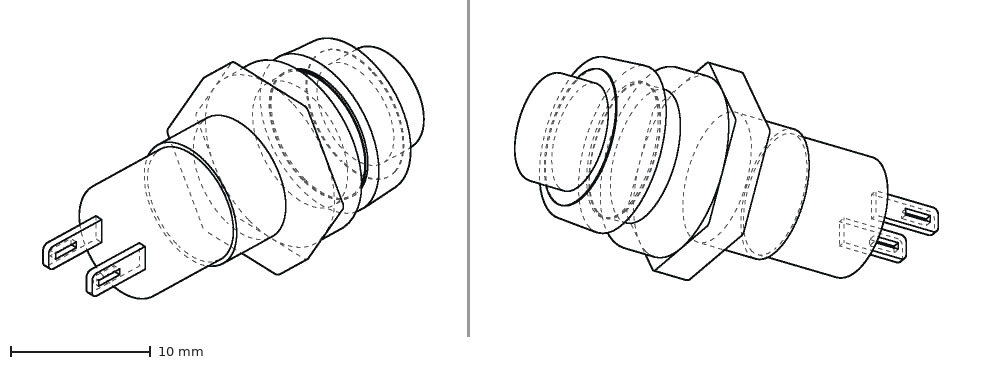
import cadquery as cq
import math


housing_end = 5.2
thread_end = 12.05
nut_front = 16.85
nut_back = 19.83
flange_end = 22.8
neck_end = 24.5
ring_bottom = 24.7
ring_band_end = 24.9
ring_top = 28.12
collar_end = 28.2
dome_apex = 31.88

housing_radius = 4.5
thread_radius = 4.85
flange_radius = 6.743
neck_radius = 4.97
collar_radius = 5.07
ring_bottom_radius = 6.22
ring_top_radius = 6.0
button_radius = 4.02

housing_fillet = 0.3
flange_fillet = 0.48
ring_top_fillet = 0.13
dome_sag = 0.5
dome_fillet = 0.48

nut_flats = 2 * flange_radius
nut_corner_fillet = 0.48
nut_rim_fillet = 0.3

terminal_offset = 2.25
terminal_thickness = 0.6
terminal_width = 2.0
terminal_corner = 0.48
terminal_embed = 0.32
slot_start = 0.67
slot_end = 2.7
slot_width = 0.5


def disc(start, end, radius):
    """Solid cylinder on the Y axis between two stations."""
    plane = cq.Workplane("XZ", origin=(0, start, 0))
    return plane.circle(radius).extrude(start - end)


def make_ring():
    """Bezel ring that widens towards the flange and ends in a narrow straight band."""
    profile = (
        cq.Workplane("XY")
        .moveTo(0, ring_bottom)
        .lineTo(ring_bottom_radius, ring_bottom)
        .lineTo(ring_bottom_radius, ring_band_end)
        .lineTo(ring_top_radius, ring_top)
        .lineTo(0, ring_top)
        .close()
    )
    ring = profile.revolve(360, (0, 0, 0), (0, 1, 0))
    return ring.faces(">Y").edges().fillet(ring_top_fillet)


def make_button():
    """Push button with a domed end and a rounded rim."""
    dome_radius = (button_radius**2 + dome_sag**2) / (2 * dome_sag)
    half_radius = button_radius / 2
    half_sag = dome_radius - math.sqrt(dome_radius**2 - half_radius**2)
    rim = dome_apex - dome_sag
    profile = (
        cq.Workplane("XY")
        .moveTo(0, ring_bottom)
        .lineTo(button_radius, ring_bottom)
        .lineTo(button_radius, rim)
        .threePointArc((half_radius, dome_apex - half_sag), (0, dome_apex))
        .close()
    )
    button = profile.revolve(360, (0, 0, 0), (0, 1, 0))
    rim_box = cq.selectors.BoxSelector(
        (-flange_radius, rim - dome_fillet, -flange_radius),
        (flange_radius, rim + dome_fillet / 2, flange_radius),
        boundingbox=True,
    )
    return button.edges(rim_box).edges("%CIRCLE").fillet(dome_fillet)


def make_nut():
    """Hexagonal nut with rounded corners and a rounded front rim."""
    corner_diameter = nut_flats / math.cos(math.pi / 6)
    nut = (
        cq.Workplane("XZ", origin=(0, nut_back, 0))
        .polygon(6, corner_diameter)
        .extrude(nut_back - nut_front)
    )
    nut = nut.edges("|Y").fillet(nut_corner_fillet)
    return nut.faces("<Y").edges().fillet(nut_rim_fillet)


def make_terminal(x):
    """Flat terminal with rounded tip corners and a rectangular slot."""
    length = housing_end + terminal_embed
    blade = cq.Workplane("XY").box(terminal_thickness, length, terminal_width)
    blade = blade.translate((x, length / 2, 0))
    blade = blade.faces("<Y").edges("|X").fillet(terminal_corner)
    slot = cq.Workplane("XY").box(2 * terminal_thickness, slot_end - slot_start, slot_width)
    return blade.cut(slot.translate((x, (slot_start + slot_end) / 2, 0)))


housing = disc(housing_end, thread_end, housing_radius).faces("<Y").edges().fillet(housing_fillet)
thread = disc(thread_end, nut_front, thread_radius)
flange = disc(nut_back, flange_end, flange_radius).faces(">Y").edges().fillet(flange_fillet)
neck = disc(flange_end, neck_end, neck_radius)
collar = disc(neck_end, collar_end, collar_radius)

result = housing
for section in (thread, make_nut(), flange, neck, collar, make_ring(), make_button()):
    result = result.union(section)
for side in (-1, 1):
    result = result.union(make_terminal(side * terminal_offset))